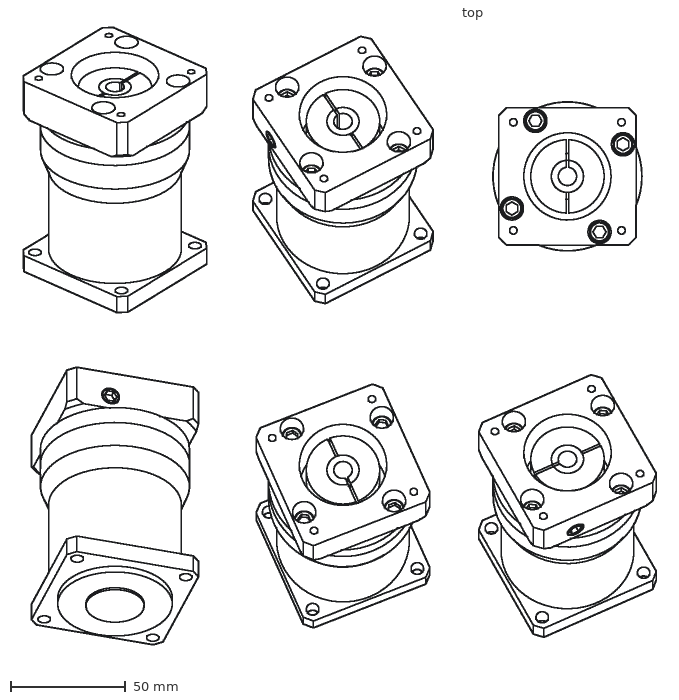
import cadquery as cq
import math

TIP_DIAMETER = 25.5
TIP_HEIGHT = 1.0
PILOT_DIAMETER = 50.0
PILOT_HEIGHT = 3.0
SQUARE_SIDE = 60.0
CORNER_CHAMFER = 3.4
FLANGE_THICKNESS = 8.2
BARREL_DIAMETER = 58.0
BARREL_HEIGHT = 40.9
CONE_HEIGHT = 9.4
RING_DIAMETER = 65.0
TOTAL_HEIGHT = 101.0
PLATE_THICKNESS = 18.6
ADAPTER_HEIGHT = 26.5

RELIEF_BOTTOM_RADIUS = 38.1

FLANGE_HOLE_DIAMETER = 5.5
FLANGE_HOLE_PITCH = 49.5
MOTOR_HOLE_DIAMETER = 3.2
MOTOR_HOLE_PITCH = 47.2
MOTOR_HOLE_DEPTH = 10.0
DRILL_POINT_ANGLE = 118.0

SCREW_COUNT = 4
SCREW_CIRCLE_RADIUS = 28.0
FIRST_SCREW_ANGLE = 30.0
SCREW_WELL_DIAMETER = 10.1
SCREW_WELL_DEPTH = 15.0
SCREW_HEAD_DIAMETER = 8.7
SCREW_HEAD_HEIGHT = 6.0
SCREW_HEAD_CHAMFER = 0.4
SOCKET_ACROSS_FLATS = 4.9
SCREW_SOCKET_DEPTH = 3.0

SIDE_HOLE_DIAMETER = 8.0
SIDE_HOLE_DEPTH = 5.0
SIDE_HOLE_OFFSET_Y = 11.1
SIDE_HOLE_BELOW_TOP = 12.1
SIDE_SCREW_DIAMETER = 7.2
SIDE_SOCKET_DEPTH = 3.0

ADAPTER_BORE_DIAMETER = 38.1

HUB_BELOW_TOP = 6.1
COLLAR_DIAMETER = 32.0
COLLAR_HEIGHT = 12.1
NECK_DIAMETER = 20.0
HUB_SLOT_DEPTH = 16.2
SLOT_WIDTH = 1.1
BUSHING_DIAMETER = 14.0
BUSHING_WALL = 3.0

PILOT_TOP = TIP_HEIGHT + PILOT_HEIGHT
FLANGE_TOP = PILOT_TOP + FLANGE_THICKNESS
BARREL_TOP = FLANGE_TOP + BARREL_HEIGHT
CONE_TOP = BARREL_TOP + CONE_HEIGHT
PLATE_BOTTOM = TOTAL_HEIGHT - PLATE_THICKNESS
ADAPTER_BOTTOM = TOTAL_HEIGHT - ADAPTER_HEIGHT
HUB_TOP = TOTAL_HEIGHT - HUB_BELOW_TOP
COLLAR_BOTTOM = HUB_TOP - COLLAR_HEIGHT
SHAFT_BORE_DIAMETER = BUSHING_DIAMETER - 2 * BUSHING_WALL
SOCKET_ACROSS_CORNERS = SOCKET_ACROSS_FLATS / math.cos(math.pi / 6)


def cylinder(diameter, bottom, top):
    return cq.Workplane("XY").workplane(offset=bottom).circle(diameter / 2).extrude(top - bottom)


def square_plate(bottom, top):
    return (
        cq.Workplane("XY").workplane(offset=bottom)
        .rect(SQUARE_SIDE, SQUARE_SIDE).extrude(top - bottom)
        .edges("|Z").chamfer(CORNER_CHAMFER)
    )


def turned_housing():
    """Tip, pilot, barrel, cone and the lower part of the ring as one revolved profile."""
    return (
        cq.Workplane("XZ")
        .moveTo(0, 0)
        .lineTo(TIP_DIAMETER / 2, 0)
        .lineTo(TIP_DIAMETER / 2, TIP_HEIGHT)
        .lineTo(PILOT_DIAMETER / 2, TIP_HEIGHT)
        .lineTo(PILOT_DIAMETER / 2, PILOT_TOP)
        .lineTo(BARREL_DIAMETER / 2, PILOT_TOP)
        .lineTo(BARREL_DIAMETER / 2, BARREL_TOP)
        .lineTo(RING_DIAMETER / 2, CONE_TOP)
        .lineTo(RING_DIAMETER / 2, ADAPTER_BOTTOM)
        .lineTo(0, ADAPTER_BOTTOM)
        .close()
        .revolve(360, (0, 0, 0), (0, 1, 0))
    )


def motor_plate():
    """Square plate whose lower corners are trimmed by a 45 degree cone."""
    relief_top_radius = RELIEF_BOTTOM_RADIUS + PLATE_THICKNESS
    envelope = (
        cq.Workplane("XZ")
        .moveTo(0, PLATE_BOTTOM)
        .lineTo(RELIEF_BOTTOM_RADIUS, PLATE_BOTTOM)
        .lineTo(relief_top_radius, TOTAL_HEIGHT)
        .lineTo(0, TOTAL_HEIGHT)
        .close()
        .revolve(360, (0, 0, 0), (0, 1, 0))
    )
    return square_plate(PLATE_BOTTOM, TOTAL_HEIGHT).intersect(envelope)


def flange_holes():
    return (
        cq.Workplane("XY").workplane(offset=PILOT_TOP)
        .rect(FLANGE_HOLE_PITCH, FLANGE_HOLE_PITCH, forConstruction=True).vertices()
        .circle(FLANGE_HOLE_DIAMETER / 2).extrude(FLANGE_THICKNESS)
    )


def motor_hole_drills():
    """Blind holes with conical drill points at the corners of the motor plate."""
    radius = MOTOR_HOLE_DIAMETER / 2
    point_height = radius / math.tan(math.radians(DRILL_POINT_ANGLE / 2))
    shoulder = TOTAL_HEIGHT - MOTOR_HOLE_DEPTH
    drill = (
        cq.Workplane("XZ")
        .moveTo(0, shoulder - point_height)
        .lineTo(radius, shoulder)
        .lineTo(radius, TOTAL_HEIGHT)
        .lineTo(0, TOTAL_HEIGHT)
        .close()
        .revolve(360, (0, 0, 0), (0, 1, 0))
    )
    half = MOTOR_HOLE_PITCH / 2
    drills = cq.Workplane("XY")
    for x in (-half, half):
        for y in (-half, half):
            drills = drills.union(drill.translate((x, y, 0)))
    return drills


def screw_well():
    """Space around and inside one sunk cap screw, on the Z axis."""
    floor = TOTAL_HEIGHT - SCREW_WELL_DEPTH
    head_top = floor + SCREW_HEAD_HEIGHT
    head = cylinder(SCREW_HEAD_DIAMETER, floor, head_top).faces(">Z").edges().chamfer(SCREW_HEAD_CHAMFER)
    socket = (
        cq.Workplane("XY").workplane(offset=head_top - SCREW_SOCKET_DEPTH)
        .polygon(6, SOCKET_ACROSS_CORNERS).extrude(SCREW_SOCKET_DEPTH)
    )
    return cylinder(SCREW_WELL_DIAMETER, floor, TOTAL_HEIGHT).cut(head.cut(socket))


def side_screw_space():
    """Ring gap around the side screw, and its hexagon socket."""
    face = cq.Workplane(
        "YZ", origin=(-SQUARE_SIDE / 2, SIDE_HOLE_OFFSET_Y, TOTAL_HEIGHT - SIDE_HOLE_BELOW_TOP)
    )
    gap = face.circle(SIDE_HOLE_DIAMETER / 2).circle(SIDE_SCREW_DIAMETER / 2).extrude(SIDE_HOLE_DEPTH)
    socket = face.polygon(6, SOCKET_ACROSS_CORNERS).extrude(SIDE_SOCKET_DEPTH)
    return gap.union(socket)


def clamp_hub():
    """Slotted clamping collar on a neck, standing on the top of the gearbox."""
    hub = cylinder(NECK_DIAMETER, ADAPTER_BOTTOM, COLLAR_BOTTOM)
    hub = hub.union(cylinder(COLLAR_DIAMETER, COLLAR_BOTTOM, HUB_TOP))
    hub = hub.cut(cylinder(BUSHING_DIAMETER, ADAPTER_BOTTOM, HUB_TOP))
    slot = (
        cq.Workplane("XY").workplane(offset=HUB_TOP)
        .rect(SLOT_WIDTH, COLLAR_DIAMETER).extrude(-HUB_SLOT_DEPTH)
    )
    return hub.cut(slot)


def make_gearbox():
    housing = turned_housing().union(square_plate(PILOT_TOP, FLANGE_TOP)).cut(flange_holes())
    return housing.union(clamp_hub())


def make_adapter():
    """Motor plate and upper ring section, with its screws as part of the body."""
    adapter = cylinder(RING_DIAMETER, ADAPTER_BOTTOM, PLATE_BOTTOM).union(motor_plate())
    adapter = adapter.cut(motor_hole_drills()).cut(side_screw_space())
    for index in range(SCREW_COUNT):
        angle = FIRST_SCREW_ANGLE + index * 360 / SCREW_COUNT
        well = screw_well().translate((SCREW_CIRCLE_RADIUS, 0, 0)).rotate((0, 0, 0), (0, 0, 1), angle)
        adapter = adapter.cut(well)
    return adapter.cut(cylinder(ADAPTER_BORE_DIAMETER, ADAPTER_BOTTOM, TOTAL_HEIGHT))


def make_bushing():
    """Reducing sleeve in the hub, slit along its +Y side."""
    bushing = cylinder(BUSHING_DIAMETER, ADAPTER_BOTTOM, HUB_TOP)
    bushing = bushing.cut(cylinder(SHAFT_BORE_DIAMETER, ADAPTER_BOTTOM, HUB_TOP))
    slit = (
        cq.Workplane("XY").workplane(offset=ADAPTER_BOTTOM)
        .center(0, BUSHING_DIAMETER / 4)
        .rect(SLOT_WIDTH, BUSHING_DIAMETER / 2).extrude(HUB_TOP - ADAPTER_BOTTOM)
    )
    return bushing.cut(slit)


gearbox = make_gearbox()
adapter = make_adapter()
bushing = make_bushing()

result = cq.Compound.makeCompound([gearbox.val(), adapter.val(), bushing.val()])